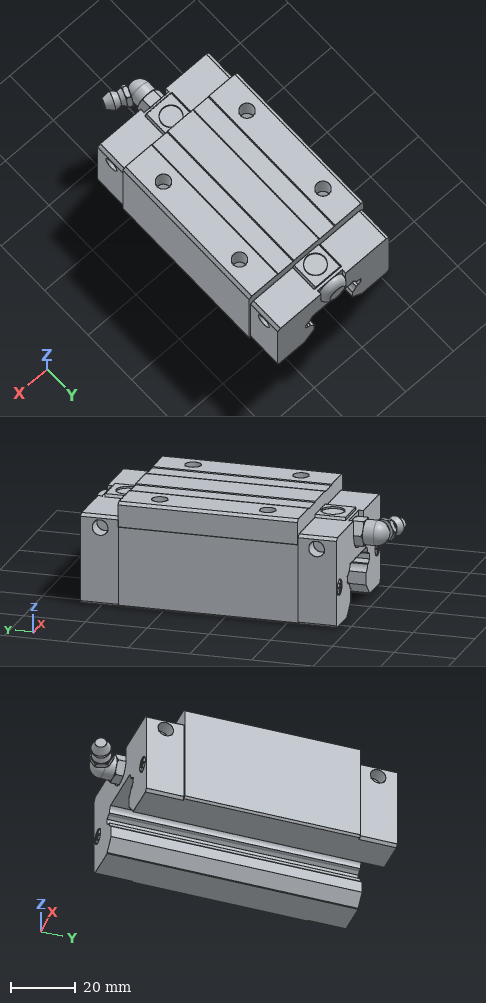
import cadquery as cq
import math


overall_length = 97.1

block_half_width = 24.0
block_half_length = 29.0
block_height = 34.5
block_bottom_chamfer = 0.7
datum_step_height = 26.3
datum_step_depth = 0.5
groove_inner, groove_outer, groove_depth = 5.2, 12.0, 0.3

top_chamfer_width, top_chamfer_drop = 1.2, 0.9

mount_pitch_x = mount_pitch_y = 35
mount_radius = 2.5
mount_depth = 8.7
drill_tip_angle = 118

cap_half_width = 23.3
cap_end = 41.5
cap_height = 29.3
cap_bottom_chamfer = 0.9
cover_thickness = 2.5
pad_base_half, pad_top_half, pad_height = 5.7, 5.1, 0.9
pad_recess_radius, pad_recess_depth, pad_recess_y = 3.7, 0.6, 33.2
side_port_radius, side_port_depth = 2.5, 4.9
side_port_y, side_port_z = 35.1, 25.3

opening_top = 16.4
opening_top_half = 8.45
ball_groove_z = 12.3
ball_groove_half_width = 11.6
ball_groove_half_height = 0.9
lip_half_width, lip_half_height = 9.5, 1.9
lip_shoulder = 0.9
lip_shoulder_drop = 0.3
lip_bulge_half_width, lip_bulge_half_height = 9.2, 3.1
throat_half_width, throat_top, throat_bottom = 8.0, 8.2, 4.1
mouth_half_width, mouth_edge_height = 11.6, 0.4

port_z = 24.3
notch_radius = 5.1
notch_depth = 1.6
notch_floor = cap_end - notch_depth

plug_base_radius, plug_top_radius, plug_height = 5.1, 3.1, 3.3
plug_bulge_radius, plug_bulge_height = 4.5, 2.5

hex_corner_radius, hex_end, hex_corner_break = 4.7, 44.0, 0.4
elbow_radius = 4.0

nipple_angle = 22
flange_start, flange_end, flange_corner_radius = 3.5, 5.3, 3.9
neck_base_radius, neck_radius, neck_end = 3.1, 2.3, 7.0
bulb_side_radius, bulb_side = 2.8, 7.8
bulb_radius, bulb_widest = 3.2, 9.2
tip_radius, tip_end = 1.8, 12.0

swing = math.radians(nipple_angle)
nipple_reach = bulb_widest * math.sin(swing) + bulb_radius * math.cos(swing)
elbow_center_y = notch_floor + plug_height + nipple_reach - overall_length

screw_x, screw_z = 19.9, 12.4
screw_radius, screw_seat_depth, screw_head_rise = 2.5, 0.4, 0.2
screw_slot_length, screw_slot_width, screw_slot_depth = 2.5, 0.5, 0.9


def prism(points, y_start, y_end):
    """Extrude an X-Z outline between two stations along the rail."""
    return cq.Workplane("XZ", origin=(0, y_end, 0)).polyline(points).close().extrude(y_end - y_start)


def mirrored(half_points):
    """Complete a right-hand half outline with its mirror image."""
    return half_points + [(-x, z) for x, z in reversed(half_points)]


def chamfered_hexagon(plane, origin, corner_radius, length):
    """Hexagonal prism whose corners are broken at both ends."""
    hexagon = cq.Workplane(plane, origin=origin).polygon(6, 2 * corner_radius).extrude(length)
    envelope = cq.Workplane(plane, origin=origin).circle(corner_radius).extrude(length)
    return hexagon.intersect(envelope.edges().chamfer(hex_corner_break))


def make_block():
    low_left = -block_half_width + datum_step_depth
    shoulder_z = block_height - top_chamfer_drop
    outline = [
        (low_left + block_bottom_chamfer, 0),
        (block_half_width - block_bottom_chamfer, 0),
        (block_half_width, block_bottom_chamfer),
        (block_half_width, shoulder_z),
        (block_half_width - top_chamfer_width, block_height),
        (-block_half_width + top_chamfer_width, block_height),
        (-block_half_width, shoulder_z),
        (-block_half_width, datum_step_height),
        (low_left, datum_step_height),
        (low_left, block_bottom_chamfer),
    ]
    block = prism(outline, -block_half_length, block_half_length)
    groove_floor = block_height - groove_depth
    for side in (-1, 1):
        groove = [
            (side * groove_inner, block_height),
            (side * (groove_inner + groove_depth), groove_floor),
            (side * (groove_outer - groove_depth), groove_floor),
            (side * groove_outer, block_height),
        ]
        block = block.cut(prism(groove, -block_half_length, block_half_length))
    return block


def make_mount_holes():
    tip_length = mount_radius / math.tan(math.radians(drill_tip_angle / 2))
    hole_profile = [
        (0, 0),
        (mount_radius, 0),
        (mount_radius, -mount_depth),
        (0, -mount_depth - tip_length),
    ]
    hole = cq.Workplane("XZ").polyline(hole_profile).close().revolve(360, (0, 0), (0, 1)).val()
    centers = cq.Workplane("XY", origin=(0, 0, block_height)).rarray(mount_pitch_x, mount_pitch_y, 2, 2)
    return centers.eachpoint(lambda place: hole.moved(place))


def make_end_caps():
    """Both end caps as one bar that passes through the block."""
    half_outline = [
        (cap_half_width - cap_bottom_chamfer, 0),
        (cap_half_width, cap_bottom_chamfer),
        (cap_half_width, cap_height - top_chamfer_drop),
        (cap_half_width - top_chamfer_width, cap_height),
    ]
    caps = prism(mirrored(half_outline), -cap_end, cap_end)
    pad_outline = mirrored([(pad_base_half, cap_height), (pad_top_half, cap_height + pad_height)])
    pad_end = cap_end - cover_thickness
    return caps.union(prism(pad_outline, -pad_end, pad_end))


def make_cap_pockets():
    """Round recesses in the pads and blind lubrication holes in the cap sides."""
    pad_top = cap_height + pad_height
    pockets = (
        cq.Workplane("XY", origin=(0, 0, pad_top))
        .pushPoints([(0, -pad_recess_y), (0, pad_recess_y)])
        .circle(pad_recess_radius)
        .extrude(-pad_recess_depth)
    )
    for side in (-1, 1):
        ports = (
            cq.Workplane("YZ", origin=(side * cap_half_width, 0, 0))
            .pushPoints([(-side_port_y, side_port_z), (side_port_y, side_port_z)])
            .circle(side_port_radius)
            .extrude(-side * side_port_depth)
        )
        pockets = pockets.union(ports)
    return pockets


def make_port_notches():
    """U-shaped notches, open at the top, in both end faces."""
    outline = (
        cq.Workplane("XZ", origin=(0, cap_end, 0))
        .moveTo(notch_radius, cap_height)
        .lineTo(notch_radius, port_z)
        .threePointArc((0, port_z - notch_radius), (-notch_radius, port_z))
        .lineTo(-notch_radius, cap_height)
        .close()
    )
    rear_notch = outline.extrude(notch_depth)
    return rear_notch.union(rear_notch.mirror("XZ"))


def make_rail_opening():
    """Full-length rail opening: its right half, mirrored across the middle plane."""
    groove_top = ball_groove_z + ball_groove_half_height
    groove_bottom = ball_groove_z - ball_groove_half_height
    lip_top = ball_groove_z + lip_half_height
    lip_bottom = ball_groove_z - lip_half_height
    shoulder_half_width = lip_half_width + lip_shoulder
    half = (
        cq.Workplane("XZ", origin=(0, cap_end, 0))
        .moveTo(0, opening_top)
        .lineTo(opening_top_half, opening_top)
        .threePointArc(
            (lip_bulge_half_width, ball_groove_z + lip_bulge_half_height),
            (lip_half_width, lip_top),
        )
        .lineTo(shoulder_half_width, lip_top - lip_shoulder_drop)
        .lineTo(ball_groove_half_width, groove_top)
        .lineTo(ball_groove_half_width, groove_bottom)
        .lineTo(shoulder_half_width, lip_bottom)
        .lineTo(lip_half_width, lip_bottom)
        .threePointArc(
            (lip_bulge_half_width, ball_groove_z - lip_bulge_half_height),
            (throat_half_width, throat_top),
        )
        .lineTo(throat_half_width, throat_bottom)
        .lineTo(mouth_half_width, mouth_edge_height)
        .lineTo(mouth_half_width, 0)
        .lineTo(0, 0)
        .close()
        .extrude(2 * cap_end)
    )
    return half.union(half.mirror("YZ"))


def make_plug():
    return (
        cq.Workplane("XY", origin=(0, notch_floor, port_z))
        .lineTo(plug_base_radius, 0)
        .threePointArc((plug_bulge_radius, plug_bulge_height), (plug_top_radius, plug_height))
        .lineTo(0, plug_height)
        .close()
        .revolve(360, (0, 0), (0, 1))
    )


def make_elbow():
    """Hexagon and round-ended barrel pointing away from the front face."""
    hexagon = chamfered_hexagon("XZ", (0, -notch_floor, port_z), hex_corner_radius, hex_end - notch_floor)
    barrel_length = -elbow_center_y - notch_floor
    barrel = cq.Workplane("XZ", origin=(0, -notch_floor, port_z)).circle(elbow_radius).extrude(barrel_length)
    ball = cq.Workplane("XY", origin=(0, elbow_center_y, port_z)).sphere(elbow_radius)
    return hexagon.union(barrel).union(ball)


def make_nipple():
    """Grease nipple built along +X, then swung forward about the elbow centre."""
    turned = (
        cq.Workplane("XY")
        .moveTo(flange_start, 0)
        .lineTo(flange_start, neck_base_radius)
        .lineTo(flange_end, neck_base_radius)
        .lineTo(neck_end, neck_radius)
        .threePointArc((bulb_side, bulb_side_radius), (bulb_widest, bulb_radius))
        .lineTo(tip_end, tip_radius)
        .lineTo(tip_end, 0)
        .close()
        .revolve(360, (0, 0), (1, 0))
    )
    flange = chamfered_hexagon("YZ", (flange_start, 0, 0), flange_corner_radius, flange_end - flange_start)
    nipple = turned.union(flange)
    return nipple.rotate((0, 0, 0), (0, 0, 1), -nipple_angle).translate((0, elbow_center_y, port_z))


def make_screw_seat(x):
    """Shallow counterbore around a screw head."""
    return cq.Workplane("XZ", origin=(x, -cap_end, screw_z)).circle(screw_radius).extrude(-screw_seat_depth)


def make_screw_head(x):
    """Spherical dome that fills the seat and rises just past the front face."""
    dome_height = screw_seat_depth + screw_head_rise
    dome_radius = (screw_radius**2 + dome_height**2) / (2 * dome_height)
    half_arc = math.asin(screw_radius / dome_radius) / 2
    dome_midpoint = (
        dome_radius * math.sin(half_arc),
        dome_radius * (1 - math.cos(half_arc)),
    )
    return (
        cq.Workplane("XY", origin=(x, -cap_end - screw_head_rise, screw_z))
        .threePointArc(dome_midpoint, (screw_radius, dome_height))
        .lineTo(0, dome_height)
        .close()
        .revolve(360, (0, 0), (0, 1))
    )


def make_screw_cross(x):
    """Cross recess in a screw head."""
    start = cq.Workplane("XZ", origin=(x, -cap_end - screw_head_rise, screw_z))
    level_slot = start.rect(screw_slot_length, screw_slot_width).extrude(-screw_slot_depth)
    upright_slot = start.rect(screw_slot_width, screw_slot_length).extrude(-screw_slot_depth)
    return level_slot.union(upright_slot)


body = make_block().union(make_end_caps())
body = body.cut(make_rail_opening())
body = body.cut(make_mount_holes())
body = body.cut(make_cap_pockets())
body = body.cut(make_port_notches())
body = body.union(make_plug())
body = body.union(make_elbow())
body = body.union(make_nipple())
for screw_center in (-screw_x, screw_x):
    body = body.cut(make_screw_seat(screw_center))
    body = body.union(make_screw_head(screw_center))
    body = body.cut(make_screw_cross(screw_center))

result = body